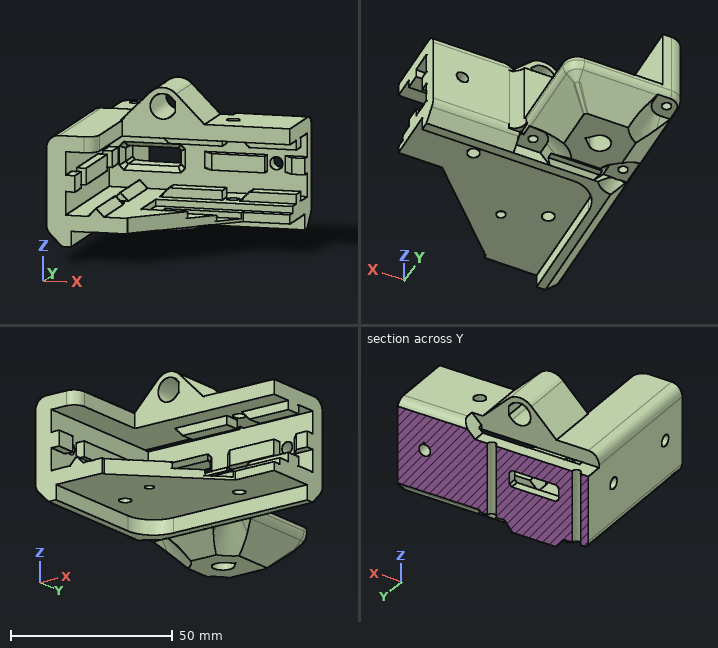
import cadquery as cq
import math

LENGTH_X = 70.0
BODY_HEIGHT = 35.0
PLATE = 5.0
CHAMFER = 5.0
EDGE_RADIUS = 4.0

RAIL = 20.0
SIDE_WALL = 6.2
CHANNEL_TOP = BODY_HEIGHT - PLATE
CHANNEL_FLOOR = CHANNEL_TOP - RAIL
CHANNEL_BACK = 50.0
BODY_BACK = CHANNEL_BACK + PLATE
PLATE_FRONT = CHANNEL_BACK - RAIL
Y_RAIL_X = 16.0
X_RAIL_Y = CHANNEL_BACK - RAIL / 2
RAIL_Z = CHANNEL_FLOOR + RAIL / 2

RIB_WIDTH = 5.2
RIB_HEIGHT = 3.0
SCREW_DIAMETER = 4.0
RIB_GAP = 5.7
SIDE_SCREWS_Y = (10.0, X_RAIL_Y)
PLATE_SCREW_X = 49.0
FLOOR_SCREW_Y = 25.0
BACK_SCREW_X = 60.0
PLATE_RIB_START = 26.0
BACK_RIB_START = 37.0

BRACE_OFFSET = 25.0
BRACE_START_X = 26.0
UNDER_WALL = 8.0
UNDER_RADIUS = 10.0
POCKET_Y = 16.0
POCKET_BACK = 33.0
POCKET_FLOOR = 7.9
GROOVE_X = 30.0
GROOVE_Y = 23.3
GROOVE_BACK = 29.5
GROOVE_FLOOR = 6.0
SMALL_SCREW = 3.0
POCKET_SCREW = (29.6, 19.4)

BOSS_X = 29.05
BOSS_Z = 40.0
BOSS_RADIUS = 5.98
ROD_RADIUS = 4.0

MOTOR = 40.0
MOTOR_X = MOTOR / 2
MOTOR_Y = CHANNEL_BACK + MOTOR / 2
MOTOR_BACK = CHANNEL_BACK + MOTOR
MOTOR_BOTTOM = -5.0
MOTOR_CORNER = 5.0
MOTOR_WALL = 8.0
MOTOR_FLOOR = 8.0
MOTOR_POCKET_RADIUS = 8.5
MOTOR_SCREW_PITCH = 31.0
SHAFT_RADIUS = 3.5
BASE_CORNER = 1.0
MOTOR_SCREW_CORNERS = ((-1, 1), (-1, -1), (1, -1))
RELIEF_TOP = 4.0
RELIEF_TOP_RADIUS = 4.7
RELIEF_BASE_RADIUS = 11.9
CLEARANCE_Y = 48.5
CLEARANCE_X = 41.5
CLEARANCE_LIP_X = 43.0
CLEARANCE_LIP = 1.5
JOIN_RADIUS = 4.0
WEB_BOTTOM = 1.5

WINDOW_X = (9.5, 30.7)
WINDOW_Z = (15.4, 24.4)
WINDOW_INNER_X = (11.1, 28.9)
WINDOW_INNER_Z = (17.1, 22.9)
WINDOW_TAPER = 1.6
WINDOW_CORNER = 1.5
WINDOW_INNER_CORNER = 0.8

TOP = 60.0
BOTTOM = -20.0
OVERRUN = 1.0


def box(x0, x1, y0, y1, z0, z1):
    return cq.Workplane("XY").box(x1 - x0, y1 - y0, z1 - z0, centered=False).translate((x0, y0, z0))


def hole_z(x, y, diameter, z0, z1):
    return cq.Workplane("XY", origin=(x, y, z0)).circle(diameter / 2).extrude(z1 - z0)


def prism_xz(points, y0, y1):
    return cq.Workplane("XZ", origin=(0, y0, 0)).polyline(points).close().extrude(y0 - y1)


def prism_yz(points, x0, x1):
    return cq.Workplane("YZ", origin=(x0, 0, 0)).polyline(points).close().extrude(x1 - x0)


def prism_xy(points, z0, z1):
    return cq.Workplane("XY", origin=(0, 0, z0)).polyline(points).close().extrude(z1 - z0)


def make_main_block(back):
    """Main block: its -X side has a rounded upper edge and a bevelled, rounded lower edge."""
    beam = prism_xz(
        [(CHAMFER, 0), (LENGTH_X, 0), (LENGTH_X, BODY_HEIGHT), (0, BODY_HEIGHT), (0, CHAMFER)],
        0, back,
    )
    outer_edges = cq.selectors.BoxSelector(
        (-OVERRUN, -OVERRUN, CHAMFER - OVERRUN), (OVERRUN, back + OVERRUN, TOP))
    return beam.edges("|Y").edges(outer_edges).fillet(EDGE_RADIUS)


def make_back_bar():
    """Strip behind the X rail and beside the motor housing, with the same edge shape as the main block."""
    bar = prism_yz(
        [(CHANNEL_BACK - OVERRUN, 0), (CHANNEL_BACK, 0), (BODY_BACK, CHAMFER),
         (BODY_BACK, BODY_HEIGHT), (CHANNEL_BACK - OVERRUN, BODY_HEIGHT)],
        MOTOR, LENGTH_X,
    )
    outer_edges = cq.selectors.BoxSelector(
        (-OVERRUN, BODY_BACK - OVERRUN, CHAMFER - OVERRUN), (LENGTH_X + OVERRUN, BODY_BACK + OVERRUN, TOP))
    return bar.edges("|X").edges(outer_edges).fillet(EDGE_RADIUS)


def make_boss():
    """Rod boss with 45 degree flanks tangent to its rounded top."""
    tangent = BOSS_RADIUS / math.sqrt(2)
    foot = BOSS_RADIUS * math.sqrt(2) + BOSS_Z - BODY_HEIGHT
    return (
        cq.Workplane("XZ", origin=(0, PLATE_FRONT, 0))
        .moveTo(BOSS_X - foot, BODY_HEIGHT)
        .lineTo(BOSS_X - tangent, BOSS_Z + tangent)
        .threePointArc((BOSS_X, BOSS_Z + BOSS_RADIUS), (BOSS_X + tangent, BOSS_Z + tangent))
        .lineTo(BOSS_X + foot, BODY_HEIGHT)
        .lineTo(BOSS_X + foot, CHANNEL_TOP)
        .lineTo(BOSS_X - foot, CHANNEL_TOP)
        .close()
        .extrude(PLATE_FRONT - CLEARANCE_Y)
    )


def make_rod_hole():
    """Rod bore whose +X side is a teardrop cut off flat at the bore radius."""
    tangent = ROD_RADIUS / math.sqrt(2)
    flat = ROD_RADIUS * math.sqrt(2) - ROD_RADIUS
    return (
        cq.Workplane("XZ", origin=(BOSS_X, PLATE_FRONT - OVERRUN, BOSS_Z))
        .moveTo(tangent, tangent)
        .threePointArc((-ROD_RADIUS, 0), (tangent, -tangent))
        .lineTo(ROD_RADIUS, -flat)
        .lineTo(ROD_RADIUS, flat)
        .close()
        .extrude(-RAIL)
    )


def make_shaft_hole():
    """Vertical motor shaft bore with a teardrop tip towards +X."""
    tangent = SHAFT_RADIUS / math.sqrt(2)
    return (
        cq.Workplane("XY", origin=(MOTOR_X, MOTOR_Y, BOTTOM))
        .moveTo(tangent, tangent)
        .threePointArc((-SHAFT_RADIUS, 0), (tangent, -tangent))
        .lineTo(SHAFT_RADIUS * math.sqrt(2), 0)
        .close()
        .extrude(TOP - BOTTOM)
    )


def rounded_square(size, radius, z):
    square = cq.Sketch().rect(size, size).vertices().fillet(radius)
    return square.moved(cq.Location(cq.Vector(MOTOR_X, MOTOR_Y, z)))


def make_motor_block():
    """Square housing with rounded corners, narrowing at 45 degrees below the bevel line."""
    bend_base = CHAMFER - MOTOR_CORNER + BASE_CORNER
    bend_size = MOTOR - 2 * (CHAMFER - bend_base)
    base_size = MOTOR - 2 * (CHAMFER - MOTOR_BOTTOM)
    walls = (
        cq.Workplane("XY")
        .placeSketch(rounded_square(MOTOR, MOTOR_CORNER, CHAMFER))
        .extrude(CHANNEL_TOP - CHAMFER)
    )
    bevel = (
        cq.Workplane("XY")
        .placeSketch(rounded_square(bend_size, BASE_CORNER, bend_base),
                     rounded_square(MOTOR, MOTOR_CORNER, CHAMFER))
        .loft(ruled=True)
    )
    bend = cq.selectors.BoxSelector(
        (-OVERRUN, CHANNEL_BACK - OVERRUN, CHAMFER - OVERRUN / 2),
        (MOTOR + OVERRUN, MOTOR_BACK + OVERRUN, CHAMFER + OVERRUN / 2))
    block = walls.union(bevel).edges(bend).fillet(EDGE_RADIUS)
    base = (
        cq.Workplane("XY")
        .placeSketch(rounded_square(base_size, BASE_CORNER, MOTOR_BOTTOM),
                     rounded_square(bend_size, BASE_CORNER, bend_base))
        .loft(ruled=True)
    )
    block = block.union(base).union(make_front_strip())
    for side_x, side_y in MOTOR_SCREW_CORNERS:
        block = block.cut(make_screw_relief(side_x, side_y))
    return block


def make_front_strip():
    """Fills the housing's front corners so the main block's edge shape runs into them."""
    strip = prism_yz(
        [(CHANNEL_BACK, 0), (CHANNEL_BACK + WEB_BOTTOM, WEB_BOTTOM), (BODY_BACK, WEB_BOTTOM),
         (BODY_BACK, CHANNEL_TOP), (CHANNEL_BACK, CHANNEL_TOP)],
        0, MOTOR,
    )
    return make_main_block(BODY_BACK).intersect(strip)


def make_screw_relief(side_x, side_y):
    """Opening below a corner screw, flared downward and open towards the outside corner."""
    sections = []
    for z, radius in ((MOTOR_BOTTOM, RELIEF_BASE_RADIUS), (RELIEF_TOP, RELIEF_TOP_RADIUS)):
        shift = MOTOR_SCREW_PITCH / 2 - radius + MOTOR / 2
        section = rounded_square(MOTOR, radius, z)
        sections.append(section.moved(cq.Location(cq.Vector(side_x * shift, side_y * shift, 0))))
    return cq.Workplane("XY").placeSketch(*sections).loft(ruled=True)


def make_rim_relief():
    """Cone below the screw nearest the main block, where it clips the end of the rim."""
    reach = MOTOR_SCREW_PITCH / 2
    height = RELIEF_TOP - MOTOR_BOTTOM
    cone = cq.Solid.makeCone(
        RELIEF_BASE_RADIUS, RELIEF_TOP_RADIUS, height,
        cq.Vector(MOTOR_X - reach, MOTOR_Y - reach, MOTOR_BOTTOM), cq.Vector(0, 0, 1))
    return cq.Workplane("XY").add(cone)


def make_join_fillet():
    """Concave fillet between the housing side and the back of the bar."""
    centre_x = MOTOR + JOIN_RADIUS
    centre_y = BODY_BACK + JOIN_RADIUS
    fill = box(MOTOR - OVERRUN, centre_x, BODY_BACK - OVERRUN, centre_y, CHAMFER, CHANNEL_TOP)
    return fill.cut(hole_z(centre_x, centre_y, 2 * JOIN_RADIUS, 0, TOP))


def make_motor_pocket():
    """Motor space, open at the top and towards +X and +Y."""
    pocket = box(MOTOR_WALL, LENGTH_X, CHANNEL_BACK + MOTOR_WALL, MOTOR_BACK + OVERRUN, MOTOR_FLOOR, TOP)
    inner_corner = cq.selectors.NearestToPointSelector((MOTOR_WALL, CHANNEL_BACK + MOTOR_WALL, CHANNEL_TOP))
    return pocket.edges("|Z").edges(inner_corner).fillet(MOTOR_POCKET_RADIUS)


def make_plate_clearance():
    """Removes the upper plate over the housing, ending in a 45 degree slope."""
    height = TOP - CHANNEL_TOP
    slope = prism_xz(
        [(-OVERRUN, CHANNEL_TOP), (CLEARANCE_X, CHANNEL_TOP), (CLEARANCE_X + height, TOP), (-OVERRUN, TOP)],
        CLEARANCE_Y, MOTOR_BACK,
    )
    lip = box(SIDE_WALL, CLEARANCE_LIP_X, CLEARANCE_Y, CHANNEL_BACK, CHANNEL_TOP, CHANNEL_TOP + CLEARANCE_LIP)
    return slope.union(lip)


def make_upper_opening():
    """Removes the upper plate in front of the X rail, leaving a strip over the Y rail."""
    opening = box(Y_RAIL_X, LENGTH_X + OVERRUN, -OVERRUN, PLATE_FRONT, CHANNEL_TOP, TOP)
    corner_box = box(Y_RAIL_X - EDGE_RADIUS, Y_RAIL_X, 0, EDGE_RADIUS, CHANNEL_TOP, TOP)
    corner_round = hole_z(Y_RAIL_X - EDGE_RADIUS, EDGE_RADIUS, 2 * EDGE_RADIUS, 0, TOP)
    return opening.union(corner_box.cut(corner_round))


def make_brace_cut():
    """Removes the lower plate outside its diagonal edge, in front of the X rail."""
    start_y = BRACE_START_X - BRACE_OFFSET
    return prism_xy(
        [(BRACE_START_X, -OVERRUN), (BRACE_START_X, start_y), (PLATE_FRONT + BRACE_OFFSET, PLATE_FRONT),
         (LENGTH_X + OVERRUN, PLATE_FRONT), (LENGTH_X + OVERRUN, -OVERRUN)],
        BOTTOM, CHANNEL_TOP,
    )


def make_underside_recess():
    """Recess under the lower plate, open to the front and to +X."""
    back = BODY_BACK - UNDER_WALL
    recess = box(UNDER_WALL, LENGTH_X + OVERRUN, -OVERRUN, back, BOTTOM, CHAMFER)
    inner_corner = cq.selectors.NearestToPointSelector((UNDER_WALL, back, 0))
    return recess.edges("|Z").edges(inner_corner).fillet(UNDER_RADIUS)


def make_plate_pockets():
    """Stepped pocket in the lower plate: a wide step and a narrower groove."""
    pocket = box(BRACE_START_X, LENGTH_X + OVERRUN, POCKET_Y, POCKET_BACK, POCKET_FLOOR, CHANNEL_FLOOR)
    groove = box(GROOVE_X, LENGTH_X + OVERRUN, GROOVE_Y, GROOVE_BACK, GROOVE_FLOOR, POCKET_FLOOR)
    return pocket.union(groove)


def ramped_segments(start, screw):
    """Spans along X on both sides of a screw."""
    return [(start, screw - RIB_GAP / 2), (screw + RIB_GAP / 2, LENGTH_X)]


def straight_segments(screws):
    """Spans along Y between the screws, from the front to the channel back."""
    starts = [0] + [y + RIB_GAP / 2 for y in screws]
    ends = [y - RIB_GAP / 2 for y in screws] + [CHANNEL_BACK]
    return list(zip(starts, ends))


def make_ribs():
    """Ribs that enter the rail slots; those along X start with a 45 degree ramp."""
    half = RIB_WIDTH / 2
    ribs = []
    for x0, x1 in ramped_segments(PLATE_RIB_START, PLATE_SCREW_X):
        for root, inward in ((CHANNEL_FLOOR, 1), (CHANNEL_TOP, -1)):
            tip = root + inward * RIB_HEIGHT
            outline = [(x0, root), (x0 + RIB_HEIGHT, tip), (x1, tip), (x1, root)]
            ribs.append(prism_xz(outline, X_RAIL_Y - half, X_RAIL_Y + half))
    for x0, x1 in ramped_segments(BACK_RIB_START, BACK_SCREW_X):
        tip = CHANNEL_BACK - RIB_HEIGHT
        outline = [(x0, CHANNEL_BACK), (x0 + RIB_HEIGHT, tip), (x1, tip), (x1, CHANNEL_BACK)]
        ribs.append(prism_xy(outline, RAIL_Z - half, RAIL_Z + half))
    for y0, y1 in straight_segments(SIDE_SCREWS_Y):
        ribs.append(box(SIDE_WALL, SIDE_WALL + RIB_HEIGHT, y0, y1, RAIL_Z - half, RAIL_Z + half))
    for y0, y1 in straight_segments((FLOOR_SCREW_Y,)):
        triangle = [(Y_RAIL_X - half, CHANNEL_FLOOR), (Y_RAIL_X, CHANNEL_FLOOR + half),
                    (Y_RAIL_X + half, CHANNEL_FLOOR)]
        ribs.append(prism_xz(triangle, y0, y1))
    return ribs


def make_screw_holes():
    """Screw holes through the rail walls, the lower pocket and the motor housing."""
    back_plane = cq.Workplane("XZ", origin=(BACK_SCREW_X, X_RAIL_Y, RAIL_Z))
    holes = [
        hole_z(PLATE_SCREW_X, X_RAIL_Y, SCREW_DIAMETER, BOTTOM, TOP),
        hole_z(Y_RAIL_X, FLOOR_SCREW_Y, SCREW_DIAMETER, BOTTOM, RAIL_Z),
        hole_z(*POCKET_SCREW, SMALL_SCREW, BOTTOM, RAIL_Z),
        back_plane.circle(SCREW_DIAMETER / 2).extrude(-RAIL),
    ]
    for y in SIDE_SCREWS_Y:
        side_plane = cq.Workplane("YZ", origin=(-OVERRUN, y, RAIL_Z))
        holes.append(side_plane.circle(SCREW_DIAMETER / 2).extrude(RAIL / 2))
    reach = MOTOR_SCREW_PITCH / 2
    for side_x, side_y in MOTOR_SCREW_CORNERS:
        x = MOTOR_X + side_x * reach
        y = MOTOR_Y + side_y * reach
        holes.append(hole_z(x, y, SMALL_SCREW, BOTTOM, CHANNEL_TOP + OVERRUN))
    return holes


def clipped_rectangle(span_x, span_z, corner):
    width = span_x[1] - span_x[0]
    height = span_z[1] - span_z[0]
    middle = cq.Location(cq.Vector(sum(span_x) / 2, sum(span_z) / 2, 0))
    return cq.Sketch().rect(width, height).vertices().chamfer(corner).moved(middle)


def make_window():
    """Cable window into the motor space, funnelled on the channel side."""
    outer = clipped_rectangle(WINDOW_X, WINDOW_Z, WINDOW_CORNER)
    inner = clipped_rectangle(WINDOW_INNER_X, WINDOW_INNER_Z, WINDOW_INNER_CORNER)
    inner_deep = inner.moved(cq.Location(cq.Vector(0, 0, -WINDOW_TAPER)))
    plane = cq.Workplane("XZ", origin=(0, CHANNEL_BACK, 0))
    funnel = plane.placeSketch(outer, inner_deep).loft(ruled=True)
    return funnel.union(plane.placeSketch(inner).extrude(-MOTOR_WALL - MOTOR_POCKET_RADIUS))


body = make_main_block(CHANNEL_BACK).union(make_back_bar()).cut(make_plate_clearance())
body = body.cut(make_rim_relief()).union(make_motor_block()).union(make_join_fillet()).union(make_boss())
body = body.cut(box(SIDE_WALL, LENGTH_X + OVERRUN, -OVERRUN, CHANNEL_BACK, CHANNEL_FLOOR, CHANNEL_TOP))

cutters = [
    make_upper_opening(), make_brace_cut(), make_underside_recess(), make_plate_pockets(),
    make_motor_pocket(), make_shaft_hole(), make_window(), make_rod_hole(),
]
for cutter in cutters:
    body = body.cut(cutter)
for rib in make_ribs():
    body = body.union(rib)
for hole in make_screw_holes():
    body = body.cut(hole)

result = body